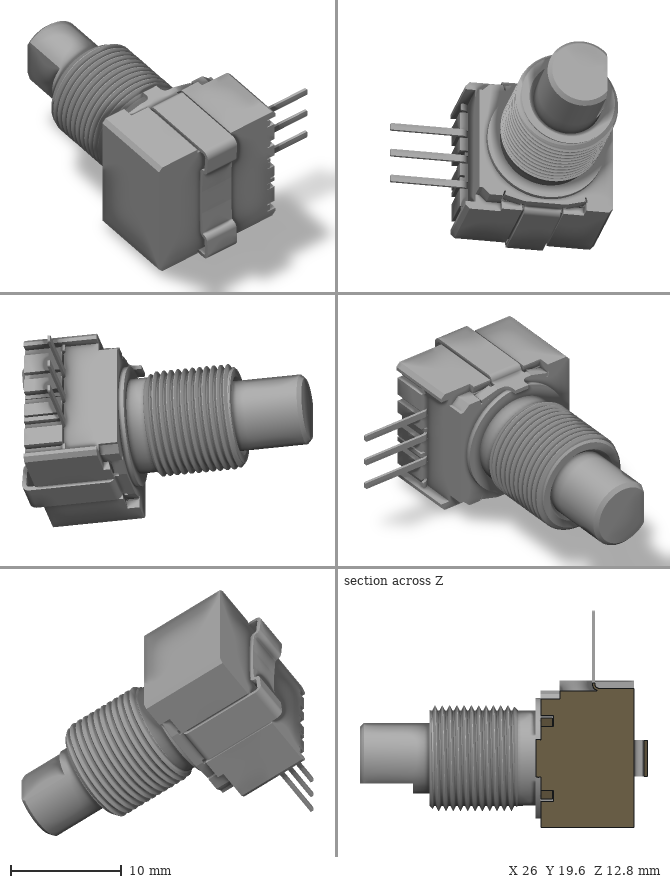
import cadquery as cq
import math


shaft_radius = 3.18
shaft_chamfer = 0.36
flat_length = 4.82
flat_offset = 2.26
bushing_front = 6.27
bushing_radius = 4.3
countersink = 0.42
thread_end = 14.3
thread_radius = 4.76
thread_base = 0.55
thread_tip = 0.05
thread_sink = 0.03
thread_start = 5.95
thread_turns = 14
helix_length = 9.21
thread_pitch = helix_length / thread_turns
flange_front = 15.85
flange_radius = 5.45

housing_front = 16.32
housing_back = 24.75
housing_half_height = 6.25
housing_bottom = -6.25
housing_top = 7.0
housing_chamfer = 0.4
step_back = 18.05
step_top = 6.1
step_corner_y = 5.78
step_bevel_y = 5.1
step_corner_z = 4.82
deck_z = flange_radius
pocket_half_width = 3.77
pocket_back = 17.45
pocket_lip = 0.15
pocket_undercut = 0.15
channel_half_width = 1.9
channel_floor = 5.88
channel_front = 18.1

slot_half_height = 5.52
pin_pitch = 2.55
pin_width = 0.65
pin_front = 20.95
pin_thickness = 0.25
pin_tip = 13.33
pin_tip_chamfer = 0.08
pin_bend = 0.62
lug_z = 5.08
lug_tip = 6.82
rib_top = 6.87
low_rib_top = 6.4

strip_thickness = 0.4
strap_half_width = 1.67
strap_z = 6.4
plate_back = 17.05
tab_front = 15.2
tab_half_width = 0.75
tab_fillet = 0.62
bend_inside = 0.13
dip_bend = 0.15
corner_bend = 0.29
wing_length = 1.9
wing_angle = 15.0
wing_back = 17.4
wing_clearance = 0.15
notch_rise = 0.13
relief_half_width = 2.13

plate_z = deck_z + strip_thickness


def block(x, y, z):
    """Box given by its (low, high) limits along each axis."""
    size = [high - low for low, high in (x, y, z)]
    return cq.Workplane("XY").box(*size, centered=False).translate((x[0], y[0], z[0]))


def both_sides(shape, plane):
    """Shape together with its mirror image."""
    return shape.union(shape.mirror(plane))


def wing_profile(length, rise):
    """Sloping section of a clip wing in the YZ plane, on the +Y, +Z side, raised on top by `rise`."""
    slope = math.radians(wing_angle)
    along = (length * math.cos(slope), -length * math.sin(slope))
    across = (-strip_thickness * math.sin(slope), -strip_thickness * math.cos(slope))
    root = (channel_half_width, plate_z)
    tip = (root[0] + along[0], root[1] + along[1])
    upper = (rise * math.sin(slope), rise * math.cos(slope))
    return [
        (root[0] + upper[0], root[1] + upper[1]),
        (tip[0] + upper[0], tip[1] + upper[1]),
        (tip[0] + across[0], tip[1] + across[1]),
        (root[0] + across[0], root[1] + across[1]),
    ]


def four_wings(length, back, rise=0):
    """Wing-shaped bars from the housing front to `back`, on both sides of both plates."""
    wing = (
        cq.Workplane("YZ", origin=(housing_front, 0, 0))
        .polyline(wing_profile(length, rise))
        .close()
        .extrude(back - housing_front)
    )
    return both_sides(both_sides(wing, "XZ"), "XY")


def make_shaft_and_bushing():
    profile = [
        (0, 0),
        (0, shaft_radius - shaft_chamfer),
        (shaft_chamfer, shaft_radius),
        (bushing_front + countersink, shaft_radius),
        (bushing_front, shaft_radius + countersink),
        (bushing_front, bushing_radius),
        (flange_front, bushing_radius),
        (flange_front, flange_radius),
        (housing_front, flange_radius),
        (housing_front, 0),
    ]
    turned = cq.Workplane("XY").polyline(profile).close().revolve(360, (0, 0, 0), (1, 0, 0))
    flat = block((0, flat_length), (-shaft_radius, -flat_offset), (-shaft_radius, shaft_radius))
    return turned.cut(flat)


def make_thread():
    """Right-handed helical ridge, bevelled where the thread starts and ends."""
    root = bushing_radius - thread_sink
    helix = cq.Wire.makeHelix(thread_pitch, helix_length, root)
    ridge = (
        cq.Workplane("XZ")
        .polyline([
            (root, -thread_base / 2),
            (thread_radius, -thread_tip / 2),
            (thread_radius, thread_tip / 2),
            (root, thread_base / 2),
        ])
        .close()
        .sweep(cq.Workplane(obj=helix), isFrenet=True)
        .rotate((0, 0, 0), (0, 1, 0), 90)
        .translate((thread_start, 0, 0))
    )
    envelope_radius = thread_radius + thread_tip
    bevel = envelope_radius - bushing_radius
    envelope = (
        cq.Workplane("YZ", origin=(bushing_front, 0, 0))
        .circle(envelope_radius)
        .extrude(thread_end - bushing_front)
        .edges()
        .chamfer(bevel)
    )
    return ridge.intersect(envelope)


def make_housing():
    z_range = (-housing_half_height, housing_half_height)
    housing = (
        block((housing_front, housing_back), (housing_bottom, housing_top), z_range)
        .edges("|X")
        .chamfer(housing_chamfer)
    )

    step_space = block((housing_front, step_back), (pocket_half_width, housing_top), z_range)
    step_half = [
        (pocket_half_width, deck_z),
        (step_bevel_y, deck_z),
        (step_corner_y, step_corner_z),
        (step_top, step_corner_z),
    ]
    step_outline = step_half + [(y, -z) for y, z in reversed(step_half)]
    step = (
        cq.Workplane("YZ", origin=(housing_front, 0, 0))
        .polyline(step_outline)
        .close()
        .extrude(step_back - housing_front)
    )
    housing = housing.cut(step_space.cut(step))

    slot = block(
        (housing_front, housing_back), (step_top, housing_top), (-slot_half_height, slot_half_height)
    )
    housing = housing.cut(slot)

    pocket = (
        cq.Workplane("XZ", origin=(0, pocket_half_width, 0))
        .polyline([
            (housing_front, deck_z),
            (pocket_back + pocket_undercut, deck_z),
            (pocket_back, housing_half_height - pocket_lip),
            (pocket_back, housing_half_height),
            (housing_front, housing_half_height),
        ])
        .close()
        .extrude(2 * pocket_half_width)
    )
    channel_y = (-channel_half_width, channel_half_width)
    channel = block((housing_front, housing_back), channel_y, (channel_floor, housing_half_height))
    dip = block((housing_front, channel_front), channel_y, (deck_z, housing_half_height))
    clip_space = pocket.union(channel).union(dip)
    housing = housing.cut(both_sides(clip_space, "XY"))
    notches = four_wings(wing_length + wing_clearance, pocket_back, notch_rise)
    return housing.cut(notches)


def make_terminal(z, tip):
    """Strip lying on the slot floor from the back, then bent outwards in +Y up to `tip`."""
    strip = (
        cq.Workplane("XY", origin=(0, 0, z - pin_width / 2))
        .polyline([
            (housing_back, step_top),
            (pin_front, step_top),
            (pin_front, tip),
            (pin_front + pin_thickness, tip),
            (pin_front + pin_thickness, step_top + pin_thickness),
            (housing_back, step_top + pin_thickness),
        ])
        .close()
        .extrude(pin_width)
    )
    outer_corner = cq.selectors.NearestToPointSelector((pin_front, step_top, z))
    inner_corner = cq.selectors.NearestToPointSelector(
        (pin_front + pin_thickness, step_top + pin_thickness, z)
    )
    strip = strip.edges("|Z").edges(outer_corner).fillet(pin_bend)
    strip = strip.edges("|Z").edges(inner_corner).fillet(pin_bend - pin_thickness)
    return strip.faces(">Y").edges("|X").chamfer(pin_tip_chamfer)


def make_terminal_side():
    ribs = [
        (2.85, 4.63, rib_top),
        (0.89, 2.13, rib_top),
        (0.36, 0.73, low_rib_top),
        (-1.55, -0.4, rib_top),
        (-1.77, -1.55, low_rib_top),
        (-2.19, -1.77, rib_top),
        (-4.6, -2.9, rib_top),
    ]
    parts = [make_terminal(z, pin_tip) for z in (-pin_pitch, 0, pin_pitch)]
    parts += [make_terminal(z, lug_tip) for z in (-lug_z, lug_z)]
    rib_x = (pin_front + pin_thickness, housing_back)
    parts += [block(rib_x, (step_top, top), (low, high)) for low, high, top in ribs]
    return parts


def make_potentiometer():
    body = make_housing().union(make_shaft_and_bushing())
    for part in make_terminal_side():
        body = body.union(part)
    return body.union(make_thread())


def offset_path(points, distance):
    """Open path moved sideways by `distance`, to its right, with mitred corners."""
    headings = [math.atan2(b[1] - a[1], b[0] - a[0]) for a, b in zip(points, points[1:])]
    before = [headings[0]] + headings
    after = headings + [headings[-1]]
    moved = []
    for (x, z), first, second in zip(points, before, after):
        middle = (first + second) / 2
        reach = distance / math.cos((second - first) / 2)
        moved.append((x + reach * math.sin(middle), z - reach * math.cos(middle)))
    return moved


def make_strap():
    """Bent strip over the top, down the back and along the bottom of the housing."""
    wide = bend_inside + strip_thickness
    bends = [
        (17.47, plate_z, bend_inside, wide),
        (17.62, strap_z, dip_bend + strip_thickness, dip_bend),
        (26.08, strap_z, corner_bend + strip_thickness, corner_bend),
        (25.87, 3.8, wide, bend_inside),
        (25.28, 3.65, bend_inside, wide),
    ]
    contact_x = housing_back + strip_thickness
    contact_half_height = 1.3
    outer = [(plate_back, plate_z)]
    outer += [(x, z) for x, z, _, _ in bends]
    outer += [(contact_x, contact_half_height), (contact_x, 0)]
    inner = offset_path(outer, strip_thickness)

    half = (
        cq.Workplane("XZ", origin=(0, strap_half_width, 0))
        .polyline(outer + inner[::-1])
        .close()
        .extrude(2 * strap_half_width)
    )
    for index, (_, _, outer_radius, inner_radius) in enumerate(bends, start=1):
        for (x, z), radius in ((outer[index], outer_radius), (inner[index], inner_radius)):
            corner = cq.selectors.NearestToPointSelector((x, 0, z))
            half = half.edges("|Y").edges(corner).fillet(radius)
    return both_sides(half, "XY")


def make_clip():
    plate = block(
        (housing_front, plate_back), (-channel_half_width, channel_half_width), (deck_z, plate_z)
    )
    relief = block(
        (plate_back, wing_back), (strap_half_width, relief_half_width), (0, strap_z)
    )
    wings = four_wings(wing_length, wing_back).cut(both_sides(both_sides(relief, "XZ"), "XY"))

    flare = tab_half_width + tab_fillet
    bend = tab_fillet * math.sqrt(0.5)
    centre_x = housing_front - tab_fillet
    tab = (
        cq.Workplane("XY", origin=(0, 0, deck_z))
        .moveTo(tab_front, -tab_half_width)
        .lineTo(centre_x, -tab_half_width)
        .threePointArc((centre_x + bend, bend - flare), (housing_front, -flare))
        .lineTo(housing_front, flare)
        .threePointArc((centre_x + bend, flare - bend), (centre_x, tab_half_width))
        .lineTo(tab_front, tab_half_width)
        .close()
        .extrude(strip_thickness)
    )
    return make_strap().union(both_sides(plate, "XY")).union(wings).union(tab)


potentiometer = make_potentiometer()
clip = make_clip()

result = cq.Compound.makeCompound([potentiometer.solids().val(), clip.solids().val()])